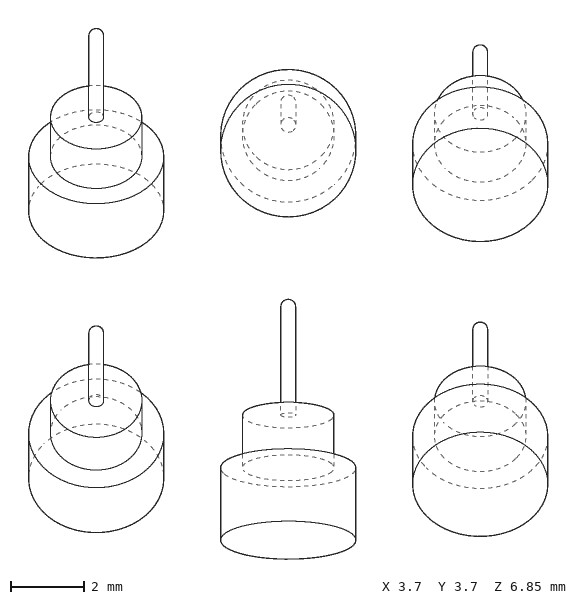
import cadquery as cq

total_height = 6.85
base_diameter = 3.7
base_height = 2.06
collar_diameter = 2.5
collar_height = 1.5
pin_diameter = 0.41

pin_radius = pin_diameter / 2
collar_top = base_height + collar_height
pin_height = total_height - collar_top


def cylinder(diameter, height, bottom):
    """Upright cylinder on the Z axis, starting at the given height."""
    return cq.Workplane("XY").workplane(offset=bottom).circle(diameter / 2).extrude(height)


base = cylinder(base_diameter, base_height, 0)
collar = cylinder(collar_diameter, collar_height, base_height)

pin_shaft = cylinder(pin_diameter, pin_height - pin_radius, collar_top)
pin_tip = cq.Workplane("XY").sphere(pin_radius).translate((0, 0, total_height - pin_radius))

result = base.union(collar).union(pin_shaft).union(pin_tip)